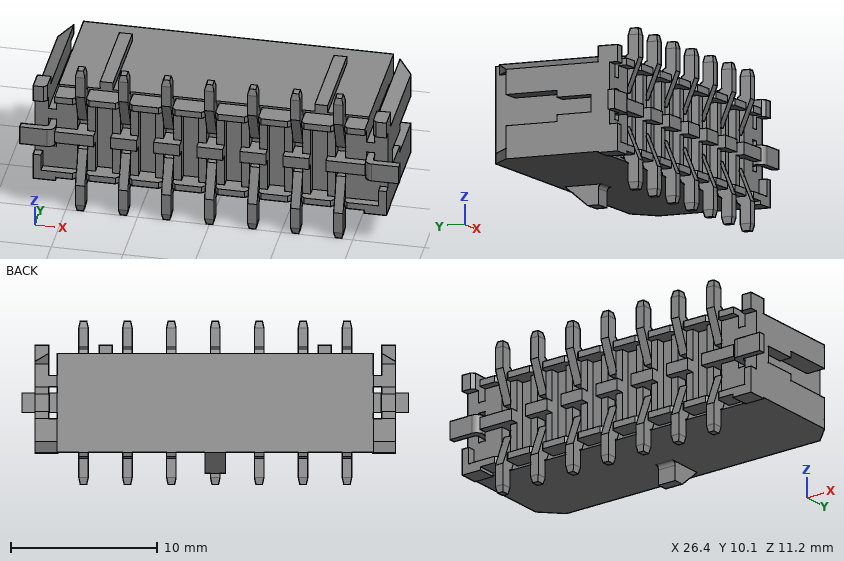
import cadquery as cq


half_length = 12.33
core_half_length = 10.82
half_height = 3.39
plate_y = 0.82
frame_y = 0.2
step_y = 1.67
mating_y = 10.1
wall_end_y = 8.62

gap_width = 0.55
wall_inner_x = core_half_length + gap_width
top_gap_floor_z = 1.88
hold_down_gap_half = 1.08
wall_slope_drop = 0.55
mouth_height = 5.32
mouth_half = mouth_height / 2
wide_notch_y = 4.8
narrow_notch_half = 0.6
narrow_notch_y = 2.22

flange_inner_z = 2.75
flange_outer_z = 3.23
block_top_z = 3.95
block_chamfer = 0.25
skirt_bottom_z = 3.46
skirt_inner_x = 10.77
post_width = 0.55
post_top_z = -1.53

pin_count = 7
pin_row_length = 18.0
pin_pitch = pin_row_length / (pin_count - 1)
pin_width = 0.65
pin_depth = 0.8
pin_span = 11.2
pin_half_span = pin_span / 2
tip_length = 0.48
tip_inset = 0.1
bend_z = 3.55
run_end_z = 1.16
run_slope = 0.41
back_bevel_top_z = 3.8
back_bevel_bottom_z = 3.68
back_bevel_depth = 0.19

slot_width = 0.71
slot_half = slot_width / 2
slot_lead_in = 0.225
bar_height = 0.87
bar_half_height = bar_height / 2
groove_width = 1.2
groove_floor_y = 1.45

rib_x = 7.49
rib_width = 0.9
rib_end_y = 8.23
latch_half_width = 0.71
latch_bottom_z = -4.81
latch_tip_y = 9.6
latch_front_y = 7.9
latch_back_y = 7.1
latch_fillet = 0.3

clip_height = 1.35
clip_half_height = clip_height / 2
clip_thickness = 0.5
clip_half_span = 13.22
clip_leg_end_y = 2.12
clip_outer_radius = 0.5
clip_inner_radius = 0.26

SIDES = (-1, 1)
pin_positions = [i * pin_pitch - pin_row_length / 2 for i in range(pin_count)]
groove_positions = [x + pin_pitch / 2 for x in pin_positions[:-1]]


def block(x0, x1, y0, y1, z0, z1):
    """Axis-aligned box between the given limits."""
    return cq.Workplane("XY").box(x1 - x0, y1 - y0, z1 - z0, centered=False).translate((x0, y0, z0))


def side_block(side, x0, x1, y0, y1, z0, z1):
    """Box on the +X end, or its mirror image on the -X end."""
    box = block(x0, x1, y0, y1, z0, z1)
    return box if side > 0 else box.mirror("YZ")


def plan_prism(points, z0, z1):
    """Prism along Z from (X, Y) points."""
    return cq.Workplane("XY").workplane(offset=z0).polyline(points).close().extrude(z1 - z0)


def profile_prism(points, x_centre, width):
    """Prism along X from (Y, Z) points."""
    return cq.Workplane("YZ", origin=(x_centre - width / 2, 0, 0)).polyline(points).close().extrude(width)


def make_rear_frame():
    """Flanges, bottom skirt, corner posts and upper corner blocks around the recessed plate."""
    frame = block(-core_half_length, core_half_length, frame_y, step_y, flange_inner_z, flange_outer_z)
    frame = frame.union(
        block(-half_length, half_length, frame_y, step_y, -flange_outer_z, -flange_inner_z)
    )
    for side in SIDES:
        frame = frame.union(
            side_block(side, skirt_inner_x, half_length, frame_y, step_y, -skirt_bottom_z, -flange_inner_z)
        )
        frame = frame.union(
            side_block(
                side, half_length - post_width, half_length, frame_y, step_y, -skirt_bottom_z, post_top_z
            )
        )
        corner_block = plan_prism(
            [
                (side * half_length, frame_y),
                (side * half_length, step_y),
                (side * wall_inner_x, step_y),
                (side * wall_inner_x, frame_y + block_chamfer),
                (side * (wall_inner_x + block_chamfer), frame_y),
            ],
            flange_inner_z,
            block_top_z,
        )
        frame = frame.union(corner_block)
    return frame


def make_shell():
    """Solid shell with a lower rear layer between the plate and the step."""
    shell = block(-half_length, half_length, step_y, mating_y, -half_height, half_height)
    rear_layer = block(-half_length, half_length, plate_y, step_y, -flange_outer_z, flange_inner_z)
    return shell.union(rear_layer)


def cut_end_wall(body, side):
    """Shape one end wall: sloped top, bevelled end, gap to the core and side notch."""
    slope = (
        cq.Workplane("XZ", origin=(0, step_y, 0))
        .polyline(
            [
                (side * wall_inner_x, half_height),
                (side * half_length, half_height),
                (side * half_length, half_height - wall_slope_drop),
            ]
        )
        .close()
        .extrude(step_y - mating_y)
    )
    bevel = plan_prism(
        [
            (side * half_length, wall_end_y),
            (side * half_length, mating_y),
            (side * core_half_length, mating_y),
        ],
        -half_height,
        half_height,
    )
    body = body.cut(slope).cut(bevel)
    top_gap = side_block(
        side, core_half_length, wall_inner_x, frame_y, mating_y, top_gap_floor_z, block_top_z
    )
    hold_down_gap = side_block(
        side, core_half_length, wall_inner_x, frame_y, mating_y, -hold_down_gap_half, hold_down_gap_half
    )
    body = body.cut(top_gap).cut(hold_down_gap)
    for inner_x, start_y, half in (
        (core_half_length, wall_end_y, mouth_half),
        (core_half_length, wide_notch_y, hold_down_gap_half),
        (wall_inner_x, narrow_notch_y, narrow_notch_half),
    ):
        body = body.cut(side_block(side, inner_x, half_length, start_y, mating_y, -half, half))
    return body


def make_pin_slot(x):
    """Vertical slot for one pin pair, with bevelled mouths through the two flanges."""
    slot = block(x - slot_half, x + slot_half, frame_y, step_y, -flange_outer_z, flange_outer_z)
    mouth = plan_prism(
        [
            (x - slot_half - slot_lead_in, frame_y),
            (x + slot_half + slot_lead_in, frame_y),
            (x + slot_half, frame_y + slot_lead_in),
            (x - slot_half, frame_y + slot_lead_in),
        ],
        -flange_outer_z,
        flange_outer_z,
    )
    return slot.union(mouth)


def make_groove(x):
    return block(
        x - groove_width / 2, x + groove_width / 2, frame_y, groove_floor_y, -flange_inner_z, flange_inner_z
    )


def make_bar():
    """Full-length bar across the plate; the grooves later divide it."""
    return block(
        -core_half_length, core_half_length, frame_y, step_y, -bar_half_height, bar_half_height
    )


def make_rib(x):
    return block(x - rib_width / 2, x + rib_width / 2, step_y, rib_end_y, half_height, block_top_z)


def make_latch():
    latch = profile_prism(
        [
            (latch_tip_y, -half_height),
            (latch_front_y, latch_bottom_z),
            (latch_back_y, latch_bottom_z),
            (latch_back_y, -half_height),
        ],
        0,
        2 * latch_half_width,
    )
    root = (
        cq.Workplane("YZ", origin=(-latch_half_width, 0, 0))
        .moveTo(latch_back_y, -half_height)
        .lineTo(latch_back_y - latch_fillet, -half_height)
        .radiusArc((latch_back_y, -half_height - latch_fillet), latch_fillet)
        .close()
        .extrude(2 * latch_half_width)
    )
    return latch.union(root)


def make_pin(x):
    """Upper pin: sloped run leaving the slot floor, upright foot and tapered tip."""
    shoulder_z = pin_half_span - tip_length
    back_run_y = pin_depth + back_bevel_depth
    pin = profile_prism(
        [
            (0, shoulder_z),
            (0, bend_z),
            (run_slope * (bend_z - run_end_z), run_end_z),
            (back_run_y + run_slope * (back_bevel_bottom_z - run_end_z), run_end_z),
            (back_run_y, back_bevel_bottom_z),
            (pin_depth, back_bevel_top_z),
            (pin_depth, shoulder_z),
        ],
        x,
        pin_width,
    )
    tip = (
        cq.Workplane("XY", origin=(x, pin_depth / 2, shoulder_z))
        .rect(pin_width, pin_depth)
        .workplane(offset=tip_length)
        .rect(pin_width - 2 * tip_inset, pin_depth - 2 * tip_inset)
        .loft()
    )
    return pin.union(tip)


def make_clip(side):
    """Bent metal strip: outward foot and a leg held in the gap of the end wall."""
    leg_outer_x = core_half_length + clip_thickness
    clip = (
        cq.Workplane("XY", origin=(0, 0, -clip_half_height))
        .moveTo(clip_half_span, 0)
        .lineTo(core_half_length + clip_outer_radius, 0)
        .radiusArc((core_half_length, clip_outer_radius), clip_outer_radius)
        .lineTo(core_half_length, clip_leg_end_y)
        .lineTo(leg_outer_x, clip_leg_end_y)
        .lineTo(leg_outer_x, clip_thickness + clip_inner_radius)
        .radiusArc((leg_outer_x + clip_inner_radius, clip_thickness), -clip_inner_radius)
        .lineTo(clip_half_span, clip_thickness)
        .close()
        .extrude(2 * clip_half_height)
    )
    return clip if side > 0 else clip.mirror("YZ")


housing = make_shell().union(make_rear_frame())
for side in SIDES:
    housing = cut_end_wall(housing, side)
for x in pin_positions:
    housing = housing.cut(make_pin_slot(x))
housing = housing.union(make_bar())
for x in groove_positions:
    housing = housing.cut(make_groove(x))
for side in SIDES:
    housing = housing.union(make_rib(side * rib_x))
housing = housing.union(make_latch())

for x in pin_positions:
    upper_pin = make_pin(x)
    housing = housing.union(upper_pin).union(upper_pin.mirror("XY"))
for side in SIDES:
    housing = housing.union(make_clip(side))

result = housing